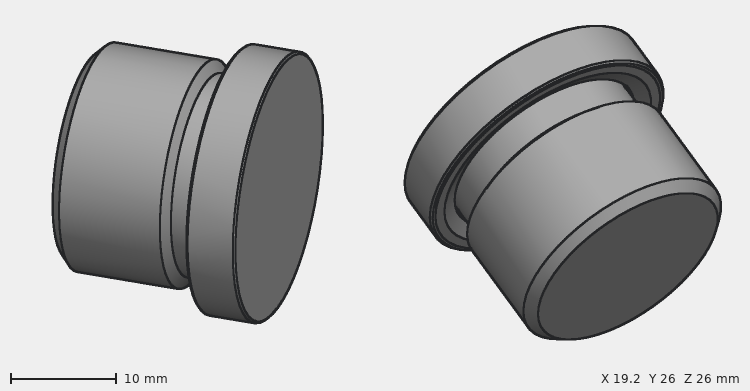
import cadquery as cq
import math

overall_length = 19.2
head_diameter = 26.0
head_length = 4.9
head_chamfer = 0.2
shank_diameter = 22.0
shank_chamfer = 1.0
neck_diameter = 19.6
groove_width = 3.25
relief_angle = 30.0

recess_diameter = 25.0
recess_depth = 1.5
ring_clearance = 0.01
ring_inner_diameter = 19.98
ring_face_width = 1.0
ring_dish_depth = 0.59

head_radius = head_diameter / 2
shank_radius = shank_diameter / 2
neck_radius = neck_diameter / 2
recess_radius = recess_diameter / 2
ring_outer_radius = recess_radius - ring_clearance
ring_inner_radius = ring_inner_diameter / 2

head_face_x = overall_length - head_length
recess_floor_x = head_face_x + recess_depth
groove_start_x = head_face_x - groove_width
relief_length = (shank_radius - neck_radius) * math.tan(math.radians(relief_angle))
neck_start_x = groove_start_x + relief_length


def revolve_about_x(profile):
    """Turn a closed (x, radius) outline a full turn about the X axis."""
    return cq.Workplane("XY").polyline(profile).close().revolve(360, (0, 0, 0), (1, 0, 0))


def make_plug():
    """Solid plug: chamfered shank, undercut neck and head with the ring recess."""
    return revolve_about_x([
        (0, 0),
        (0, shank_radius - shank_chamfer),
        (shank_chamfer, shank_radius),
        (groove_start_x, shank_radius),
        (neck_start_x, neck_radius),
        (recess_floor_x, neck_radius),
        (recess_floor_x, recess_radius),
        (head_face_x, recess_radius),
        (head_face_x, head_radius - head_chamfer),
        (head_face_x + head_chamfer, head_radius),
        (overall_length - head_chamfer, head_radius),
        (overall_length, head_radius - head_chamfer),
        (overall_length, 0),
    ])


def make_sealing_ring():
    """Ring seated on the recess floor, its face dished towards the bore."""
    return revolve_about_x([
        (recess_floor_x, ring_inner_radius),
        (head_face_x + ring_dish_depth, ring_inner_radius),
        (head_face_x, ring_outer_radius - ring_face_width),
        (head_face_x, ring_outer_radius),
        (recess_floor_x, ring_outer_radius),
    ])


plug = make_plug()
sealing_ring = make_sealing_ring()

result = cq.Compound.makeCompound([plug.val(), sealing_ring.val()])